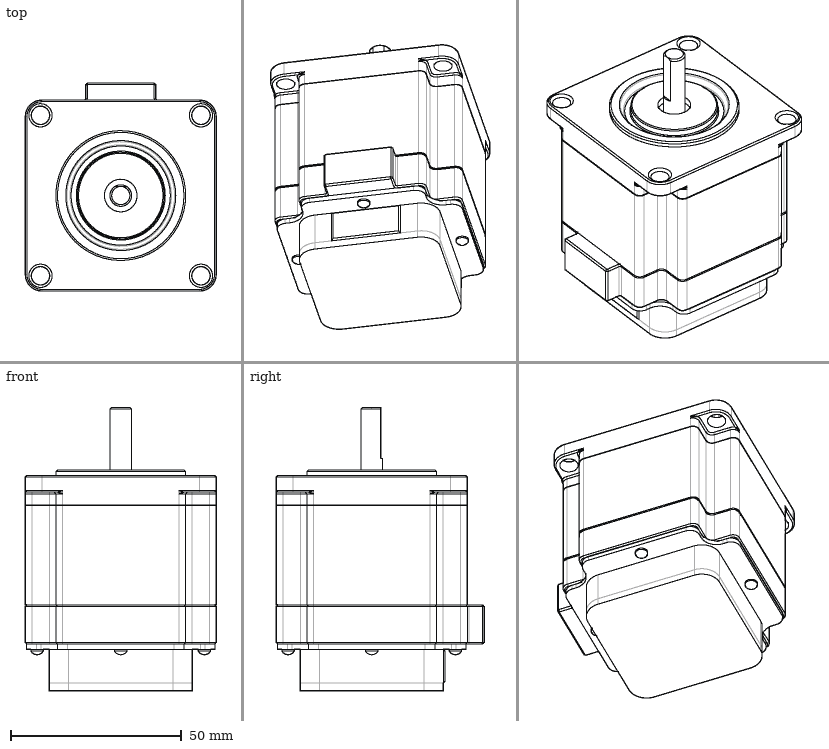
import cadquery as cq
import math


overall_height = 83.1

case_width = 56.0
edge_chamfer = 0.5
flange_corner_radius = 4.9
flange_underside_z = -4.9
flare_taper = -45
front_cap_bottom_z = -8.7
stator_bottom_z = -38.0
stator_bevel = 0.125
rear_cap_bottom_z = -49.45

notch_wall = 19.0
notch_outer_radius = 2.0
notch_inner_radius = 1.9

mount_hole_offset = 23.5
mount_hole_diameter = 5.3
mount_hole_chamfer = 0.75
countersink_angle = 90

pilot_diameter = 38.1
pilot_height = 1.6
groove_depth = 2.3
groove_top_radius = 16.1
groove_floor_radius = 14.55
disc_radius = 12.7
groove_edge_break = 0.3
shaft_recess_diameter = 9.55
shaft_recess_depth = 2.1

shaft_diameter = 6.3
shaft_top_z = 19.95
shaft_flat_cut = 0.5
shaft_flat_length = 14.95

connector_width = 20.6
connector_reach = 33.0
connector_root_radius = 0.5

plate_width = 55.35
plate_bottom_z = -51.0
plate_notch_wall = 18.5
plate_outer_radius = 3.0
plate_inner_radius = 4.8
box_width = 42.0
box_corner_radius = 5.65
lid_top_z = -60.9
cover_bottom_z = shaft_top_z - overall_height
pad_thickness = 0.5
pad_width = connector_width
pad_taper = 45

screw_offset = 24.5
screw_head_radius = 1.8
screw_rim_height = 0.5
screw_head_height = 1.6


def notched_outline(width, wall, outer_radius, inner_radius, z):
    """Square outline with a rounded L-shaped notch at each corner, drawn at height z."""
    half = width / 2
    outer_mid = outer_radius * math.sqrt(0.5)
    inner_mid = inner_radius * (1 - math.sqrt(0.5))
    corner = [
        ((half, wall - outer_radius), None),
        ((half - outer_radius, wall), (half - outer_radius + outer_mid, wall - outer_radius + outer_mid)),
        ((wall + inner_radius, wall), None),
        ((wall, wall + inner_radius), (wall + inner_mid, wall + inner_mid)),
        ((wall, half - outer_radius), None),
        ((wall - outer_radius, half), (wall - outer_radius + outer_mid, half - outer_radius + outer_mid)),
    ]

    def turned(point, quarter_turns):
        x, y = point
        for _ in range(quarter_turns):
            x, y = -y, x
        return (x, y)

    outline = cq.Workplane("XY", origin=(0, 0, z)).moveTo(*turned(corner[-1][0], 3))
    for quarter_turns in range(4):
        for end, arc_middle in corner:
            end = turned(end, quarter_turns)
            if arc_middle is None:
                outline = outline.lineTo(*end)
            else:
                outline = outline.threePointArc(turned(arc_middle, quarter_turns), end)
    return outline.close()


def case_outline(z):
    return notched_outline(case_width, notch_wall, notch_outer_radius, notch_inner_radius, z)


def rounded_square(width, corner_radius, bottom_z, top_z):
    block = cq.Workplane("XY", origin=(0, 0, bottom_z)).rect(width, width).extrude(top_z - bottom_z)
    return block.edges("|Z").fillet(corner_radius)


def cylinder(diameter, bottom_z, top_z):
    return cq.Workplane("XY", origin=(0, 0, bottom_z)).circle(diameter / 2).extrude(top_z - bottom_z)


def pilot_groove():
    """Ring groove with a sloped outer wall, bevelled at its rims and at its floor."""
    edge = groove_edge_break
    floor_z = pilot_height - groove_depth
    profile = [
        (disc_radius - edge, pilot_height),
        (disc_radius, pilot_height - edge),
        (disc_radius, floor_z + edge),
        (disc_radius + edge, floor_z),
        (groove_floor_radius, floor_z),
        (groove_floor_radius + edge, floor_z + edge),
        (groove_top_radius - edge, pilot_height - edge),
        (groove_top_radius, pilot_height),
    ]
    return cq.Workplane("XZ").polyline(profile).close().revolve(360, (0, 0), (0, 1))


def make_front_cap():
    flange = rounded_square(case_width, flange_corner_radius, flange_underside_z, 0)
    notched_block = case_outline(front_cap_bottom_z).extrude(-edge_chamfer - front_cap_bottom_z)
    flare = case_outline(flange_underside_z - edge_chamfer).extrude(edge_chamfer, taper=flare_taper)
    envelope = rounded_square(case_width, flange_corner_radius, front_cap_bottom_z, 0)
    cap = flange.faces("<Z or >Z").chamfer(edge_chamfer).union(notched_block)
    cap = cap.union(flare.intersect(envelope))

    pilot = cylinder(pilot_diameter, -edge_chamfer, pilot_height).faces(">Z").chamfer(edge_chamfer)
    cap = cap.union(pilot).cut(pilot_groove())

    cap = cap.cut(cylinder(shaft_recess_diameter, pilot_height - shaft_recess_depth, pilot_height))
    cap = cap.cut(cylinder(shaft_diameter, front_cap_bottom_z, pilot_height))

    return (
        cap.copyWorkplane(cq.Workplane("XY"))
        .rect(2 * mount_hole_offset, 2 * mount_hole_offset, forConstruction=True)
        .vertices()
        .cskHole(mount_hole_diameter, mount_hole_diameter + 2 * mount_hole_chamfer, countersink_angle)
    )


def make_stator():
    stator = case_outline(stator_bottom_z).extrude(front_cap_bottom_z - stator_bottom_z)
    return stator.faces(">Z").chamfer(stator_bevel)


def make_rear_cap():
    height = stator_bottom_z - rear_cap_bottom_z
    connector = (
        cq.Workplane("XY", origin=(0, connector_reach / 2, rear_cap_bottom_z))
        .rect(connector_width, connector_reach)
        .extrude(height)
    )
    cap = case_outline(rear_cap_bottom_z).extrude(height).union(connector)
    for side in (-1, 1):
        corner = (side * connector_width / 2, case_width / 2, (stator_bottom_z + rear_cap_bottom_z) / 2)
        cap = cap.edges(cq.selectors.NearestToPointSelector(corner)).fillet(connector_root_radius)

    return cap.edges("|Z and >Y").chamfer(edge_chamfer).faces("<Z or >Z").chamfer(edge_chamfer)


def make_shaft():
    shaft = cylinder(shaft_diameter, front_cap_bottom_z, shaft_top_z).faces(">Z").chamfer(edge_chamfer)
    flat_cutter = (
        cq.Workplane("XY", origin=(0, shaft_diameter / 2, shaft_top_z - shaft_flat_length))
        .rect(shaft_diameter, 2 * shaft_flat_cut)
        .extrude(shaft_flat_length)
    )
    return shaft.cut(flat_cutter)


def make_rear_cover():
    plate = notched_outline(
        plate_width, plate_notch_wall, plate_outer_radius, plate_inner_radius, plate_bottom_z
    ).extrude(rear_cap_bottom_z - plate_bottom_z)
    box = rounded_square(box_width, box_corner_radius, lid_top_z, plate_bottom_z)
    lid = rounded_square(box_width, box_corner_radius, cover_bottom_z, lid_top_z)

    pad = (
        cq.Workplane("XZ", origin=(0, box_width / 2, (plate_bottom_z + lid_top_z) / 2))
        .rect(pad_width, plate_bottom_z - lid_top_z)
        .extrude(-pad_thickness, taper=pad_taper)
    )
    return plate.union(box).union(pad).union(lid, clean=False)


def make_screw(angle):
    """Dome-shaped screw head under the plate, at the given angle around the axis."""
    rim_z = -screw_rim_height
    dome_height = screw_head_height - screw_rim_height
    dome_radius = (screw_head_radius**2 + dome_height**2) / (2 * dome_height)
    half_angle = math.asin(screw_head_radius / dome_radius) / 2
    dome_centre_z = dome_radius - screw_head_height
    dome_middle = (
        dome_radius * math.sin(half_angle),
        dome_centre_z - dome_radius * math.cos(half_angle),
    )
    head = (
        cq.Workplane("XZ")
        .lineTo(screw_head_radius, 0)
        .lineTo(screw_head_radius, rim_z)
        .threePointArc(dome_middle, (0, -screw_head_height))
        .close()
        .revolve(360, (0, 0), (0, 1))
    )
    return head.translate((screw_offset, 0, plate_bottom_z)).rotate((0, 0, 0), (0, 0, 1), angle)


front_cap = make_front_cap()
stator = make_stator()
rear_cap = make_rear_cap()
shaft = make_shaft()
rear_cover = make_rear_cover()
screws = [make_screw(angle) for angle in (0, 90, 180, 270)]

result = cq.Compound.makeCompound(
    [
        front_cap.val(),
        stator.val(),
        rear_cap.val(),
        shaft.val(),
        rear_cover.val(),
        *[screw.val() for screw in screws],
    ]
)